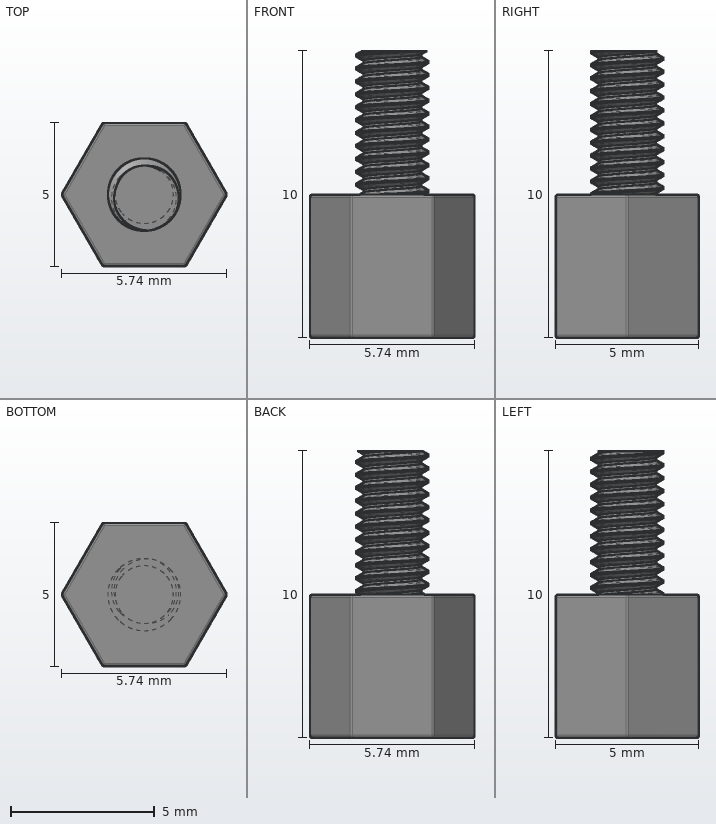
import cadquery as cq
import math

across_flats = 5.0
body_height = 5.0
edge_radius = 0.1

stud_height = 5.0
crest_diameter = 2.53
root_diameter = 2.02
pitch = 0.45
crest_flat = pitch / 8
flank_half_angle = math.radians(30)
first_crest_height = 0.12

overrun = 2 * pitch
root_overlap = 0.02
trim_size = 2 * crest_diameter


def hex_body():
    across_corners = across_flats / math.cos(math.pi / 6)
    body = cq.Workplane("XY").polygon(6, across_corners).extrude(body_height)
    return body.edges().fillet(edge_radius)


def thread_ridge(start_z, length):
    """Trapezoidal ridge wound around the core, starting on the +X side."""
    crest_radius = crest_diameter / 2
    base_radius = root_diameter / 2 - root_overlap
    half_crest = crest_flat / 2
    half_base = half_crest + (crest_radius - base_radius) * math.tan(flank_half_angle)
    helix = cq.Wire.makeHelix(pitch, length, root_diameter / 2).translate(cq.Vector(0, 0, start_z))
    profile = cq.Workplane("XZ").polyline([
        (base_radius, start_z - half_base),
        (crest_radius, start_z - half_crest),
        (crest_radius, start_z + half_crest),
        (base_radius, start_z + half_base),
    ]).close()
    return profile.sweep(cq.Workplane(helix), isFrenet=True)


def threaded_stud():
    core = cq.Workplane("XY").workplane(offset=body_height).circle(root_diameter / 2).extrude(stud_height)
    ridge = thread_ridge(body_height + first_crest_height - overrun, stud_height + 2 * overrun)
    stud_space = (
        cq.Workplane("XY")
        .workplane(offset=body_height)
        .rect(trim_size, trim_size)
        .extrude(stud_height)
    )
    return core.union(ridge.intersect(stud_space))


result = hex_body().union(threaded_stud())